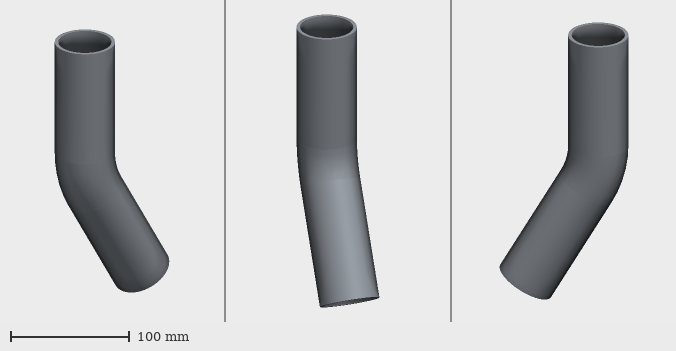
import cadquery as cq
import math

overall_height = 240.5
outer_diameter = 50.7
bore_diameter = 44.7
bend_radius = 76.2
bend_angle = 30.0

outer_radius = outer_diameter / 2
sin_bend = math.sin(math.radians(bend_angle))
cos_bend = math.cos(math.radians(bend_angle))
leg_length = (overall_height - (bend_radius + outer_radius) * sin_bend) / (1 + cos_bend)


def bend_point(angle):
    """Centreline point (y, z) at an angle in degrees past the start of the bend."""
    turn = math.radians(angle)
    return bend_radius * (1 - math.cos(turn)), -bend_radius * math.sin(turn)


bend_end = bend_point(bend_angle)
lower_end = (bend_end[0] + leg_length * sin_bend, bend_end[1] - leg_length * cos_bend)
centreline = (
    cq.Workplane("YZ")
    .moveTo(0, leg_length)
    .lineTo(0, 0)
    .threePointArc(bend_point(bend_angle / 2), bend_end)
    .lineTo(*lower_end)
)

result = (
    cq.Workplane("XY", origin=(0, 0, leg_length))
    .circle(outer_radius)
    .circle(bore_diameter / 2)
    .sweep(centreline)
)